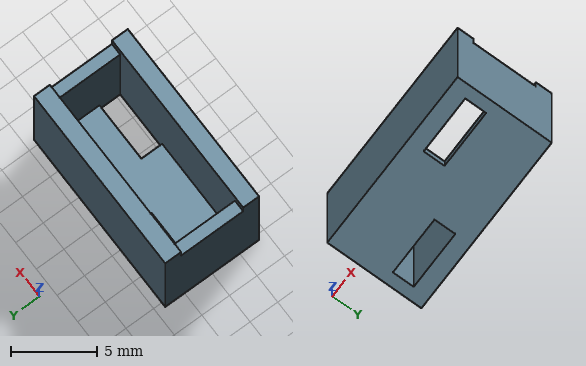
import cadquery as cq

length = 12.7
width = 6.8
height = 8.5

side_wall = 1.15
end_wall = 0.8
floor_thickness = 0.8
end_wall_drop = 0.7

window_length = 4.05
window_width = 1.5

cavity_length = length - 2 * end_wall
cavity_width = width - 2 * side_wall


def box_from(bottom, size_x, size_y, size_z):
    """Box centred on the Z axis in X and Y, standing on the given height."""
    return cq.Workplane("XY").workplane(offset=bottom).box(
        size_x, size_y, size_z, centered=(True, True, False)
    )


def open_box():
    """Block with an open-topped cavity and lowered end walls."""
    block = box_from(0, length, width, height)
    cavity = box_from(floor_thickness, cavity_length, cavity_width, height - floor_thickness)
    end_notches = box_from(height - end_wall_drop, length, cavity_width, end_wall_drop)
    return block.cut(cavity).cut(end_notches)


def floor_windows():
    """Two rectangular openings through the floor, half a turn apart."""
    window_x = (cavity_length - window_length) / 2
    window_y = (cavity_width - window_width) / 2
    return (
        cq.Workplane("XY")
        .pushPoints([(-window_x, window_y), (window_x, -window_y)])
        .rect(window_length, window_width)
        .extrude(floor_thickness)
    )


result = open_box().cut(floor_windows())